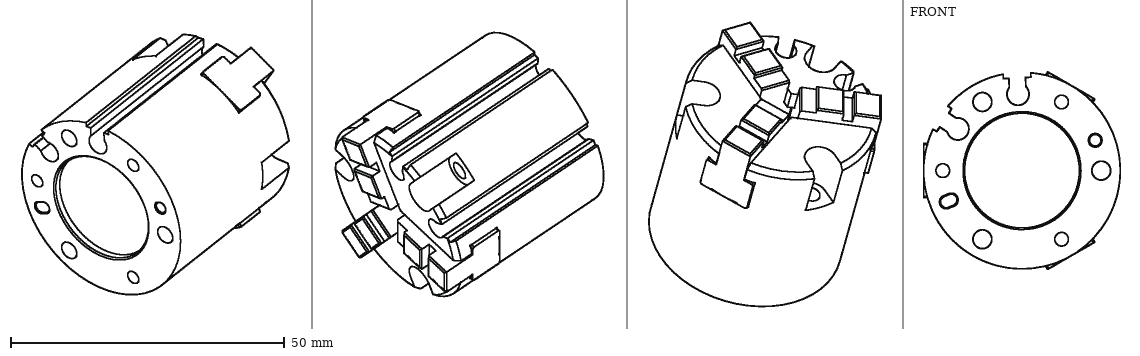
import cadquery as cq
import math

HOUSING_DIA = 36.0
HOUSING_RADIUS = HOUSING_DIA / 2
HOUSING_LENGTH = 35.0
BACK_CHAMFER = 1.0
HOUSING_SPAN = (0, HOUSING_LENGTH)
OUTSIDE = HOUSING_DIA

JAW_ANGLES = (60, 180, 300)
SCREW_ANGLES = (0, 120, 240)
HOLE_CIRCLE_RADIUS = 14.5

BORE_DIA = 21.0
BORE_CHAMFER = 0.3
COVER_RECESS = 1.5
COVER_THICKNESS = 3.0

SCREW_HOLE_DIA = 3.4
COUNTERBORE_DIA = 6.0
COUNTERBORE_DEPTH = 9.5

TAPPED_DIA = 2.5
TAPPED_DEPTH = 6.0
DRILL_POINT_ANGLE = 118

LOCATOR_ANGLE = 22.5
LOCATOR_DIA = 2.1
LOCATOR_SLOT_TRAVEL = 1.0
LOCATOR_DEPTH = 3.0
LOCATOR_CHAMFER = 0.2

GROOVE_ANGLES = (93, 147)
GROOVE_ROUND_DIA = 4.0
GROOVE_ROUND_RADIUS = 14.0
GROOVE_NECK_WIDTH = 3.0
GROOVE_MOUTH_WIDTH = 5.0
GROOVE_MOUTH_FLOOR = 17.0

JAW_INNER_RADIUS = 3.0
JAW_OUTER_RADIUS = HOUSING_RADIUS
JAW_TOP = 38.0
JAW_STEM_WIDTH = 6.0
JAW_HEAD_WIDTH = 10.0
JAW_HEAD_BOTTOM = 25.0
JAW_HEAD_TOP = 31.4
JAW_STEP_RADIUS = 6.0
JAW_STEP_TOP = 37.0
JAW_KEYWAY_RADIUS = 12.0
JAW_KEYWAY_WIDTH = 1.9
JAW_KEYWAY_FLOOR = 36.0
JAW_CHAMFER = 0.3


def turn(shape, angle):
    """Turn a shape about the Y axis, from +X towards +Z."""
    return shape.rotate((0, 0, 0), (0, 1, 0), -angle)


def box(x_range, y_range, z_width):
    """Box between two X and two Y positions, centred on Z = 0."""
    (x0, x1), (y0, y1) = x_range, y_range
    block = cq.Workplane("XY").box(x1 - x0, y1 - y0, z_width, centered=(False, False, True))
    return block.translate((x0, y0, 0))


def rod(diameter, y_range, x=0):
    """Cylinder along Y between two Y positions, centred at (x, 0)."""
    y0, y1 = y_range
    return cq.Workplane("XZ", origin=(x, y0, 0)).circle(diameter / 2).extrude(y0 - y1)


def t_section(inner_radius, outer_radius, top, corner_chamfer=0):
    """T-section bar along +X: wide head buried in the housing, narrow stem rising from it."""
    span = (inner_radius, outer_radius)
    head = box(span, (JAW_HEAD_BOTTOM, JAW_HEAD_TOP), JAW_HEAD_WIDTH)
    if corner_chamfer:
        head = head.edges("|X").chamfer(corner_chamfer)
    stem = box(span, (JAW_HEAD_BOTTOM, top), JAW_STEM_WIDTH)
    return head.union(stem)


def make_jaw(angle):
    """T-section jaw with a low inner step, a cross keyway and chamfered top edges."""
    jaw = t_section(JAW_INNER_RADIUS, JAW_OUTER_RADIUS, JAW_TOP, JAW_CHAMFER)
    step = box((JAW_INNER_RADIUS, JAW_STEP_RADIUS), (JAW_STEP_TOP, JAW_TOP), JAW_STEM_WIDTH)
    keyway_inner = JAW_KEYWAY_RADIUS - JAW_KEYWAY_WIDTH / 2
    keyway_outer = JAW_KEYWAY_RADIUS + JAW_KEYWAY_WIDTH / 2
    keyway = box((keyway_inner, keyway_outer), (JAW_KEYWAY_FLOOR, JAW_TOP), JAW_STEM_WIDTH)
    jaw = jaw.cut(step).cut(keyway)
    jaw = jaw.faces(">Y").edges().chamfer(JAW_CHAMFER)
    step_edge = cq.selectors.NearestToPointSelector((JAW_INNER_RADIUS, JAW_STEP_TOP, 0))
    jaw = jaw.edges(step_edge).chamfer(JAW_CHAMFER)
    return turn(jaw, angle)


def make_cover():
    """Disc that closes the front bore, set back from the front face."""
    return rod(BORE_DIA, (COVER_RECESS, COVER_RECESS + COVER_THICKNESS))


def bore_cutter():
    """Blind bore with a chamfered mouth, just deep enough for the recessed cover."""
    bore = rod(BORE_DIA, (0, COVER_RECESS + COVER_THICKNESS))
    mouth = cq.Workplane("XZ").circle(BORE_DIA / 2 + BORE_CHAMFER).extrude(-BORE_CHAMFER, taper=45)
    return bore.union(mouth)


def screw_cutter(angle):
    """Through hole whose counterbore breaks out through the side of the housing."""
    counterbore_span = (HOUSING_LENGTH - COUNTERBORE_DEPTH, HOUSING_LENGTH)
    hole = rod(SCREW_HOLE_DIA, HOUSING_SPAN, HOLE_CIRCLE_RADIUS)
    counterbore = rod(COUNTERBORE_DIA, counterbore_span, HOLE_CIRCLE_RADIUS)
    opening = box((HOLE_CIRCLE_RADIUS, OUTSIDE), counterbore_span, COUNTERBORE_DIA)
    return turn(hole.union(counterbore).union(opening), angle)


def tapped_cutter(angle):
    """Blind hole with a conical drill point."""
    radius = TAPPED_DIA / 2
    tip = TAPPED_DEPTH + radius / math.tan(math.radians(DRILL_POINT_ANGLE / 2))
    outline = cq.Workplane("XY").polyline([(0, 0), (radius, 0), (radius, TAPPED_DEPTH), (0, tip)]).close()
    hole = outline.revolve(360, (0, 0, 0), (0, 1, 0)).translate((HOLE_CIRCLE_RADIUS, 0, 0))
    return turn(hole, angle)


def locator_cutter(angle, travel):
    """Blind locating hole with a chamfered mouth, stretched radially by the travel."""
    def layer(diameter, depth, taper=0):
        plane = cq.Workplane("XZ", origin=(HOLE_CIRCLE_RADIUS, 0, 0))
        sketch = plane.slot2D(diameter + travel, diameter) if travel else plane.circle(diameter / 2)
        return sketch.extrude(-depth, taper=taper)

    hole = layer(LOCATOR_DIA, LOCATOR_DEPTH)
    mouth = layer(LOCATOR_DIA + 2 * LOCATOR_CHAMFER, LOCATOR_CHAMFER, taper=45)
    return turn(hole.union(mouth), angle)


def groove_cutter(angle):
    """Radial sensor groove: round bottom, narrow neck and wide mouth."""
    groove = rod(GROOVE_ROUND_DIA, HOUSING_SPAN, GROOVE_ROUND_RADIUS)
    groove = groove.union(box((GROOVE_ROUND_RADIUS, OUTSIDE), HOUSING_SPAN, GROOVE_NECK_WIDTH))
    groove = groove.union(box((GROOVE_MOUTH_FLOOR, OUTSIDE), HOUSING_SPAN, GROOVE_MOUTH_WIDTH))
    return turn(groove, angle)


def make_housing():
    """Cylinder with the jaw slots, holes and grooves cut in it; the jaw slots meet on the axis."""
    housing = rod(HOUSING_DIA, HOUSING_SPAN).faces(">Y").chamfer(BACK_CHAMFER)
    housing = housing.cut(bore_cutter())
    for angle in JAW_ANGLES:
        housing = housing.cut(turn(t_section(0, OUTSIDE, HOUSING_LENGTH), angle))
        housing = housing.cut(tapped_cutter(angle))
    for angle in SCREW_ANGLES:
        housing = housing.cut(screw_cutter(angle))
    housing = housing.cut(locator_cutter(LOCATOR_ANGLE, 0))
    housing = housing.cut(locator_cutter(LOCATOR_ANGLE + 180, LOCATOR_SLOT_TRAVEL))
    for angle in GROOVE_ANGLES:
        housing = housing.cut(groove_cutter(angle))
    return housing


housing = make_housing()
cover = make_cover()
jaws = [make_jaw(angle) for angle in JAW_ANGLES]

result = cq.Compound.makeCompound([housing.val(), cover.val(), *[jaw.val() for jaw in jaws]])